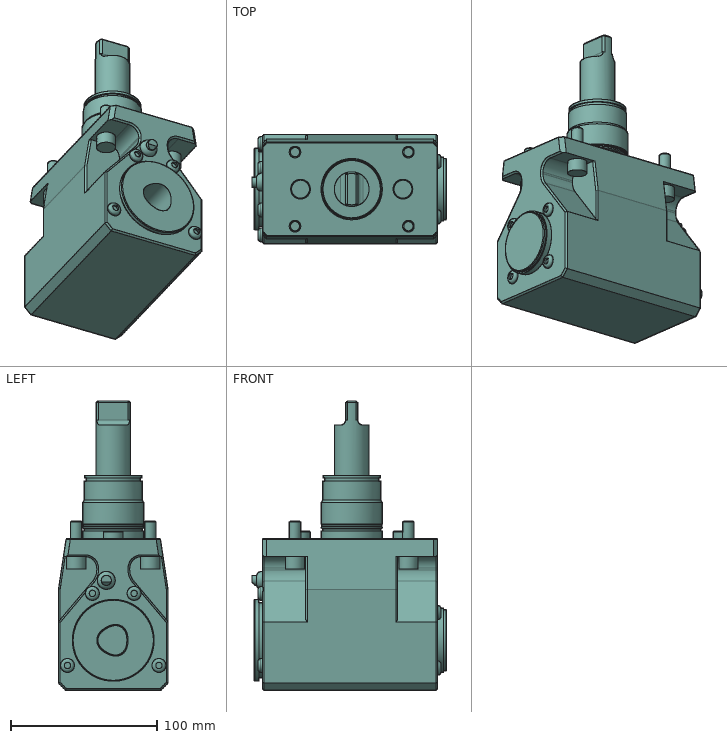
import cadquery as cq
import math

total_height = 198.0
housing_left = -61.2
housing_right = 58.8
housing_width = 75.0
plate_top_width = 64.5
housing_height = 104.0
shoulder_z = 69.1
base_chamfer = 5.0
edge_chamfer = 1.2

plate_bottom = 91.5
pocket_wall_x = 31.5
pocket_upper_radius = 8.0
pocket_lower_radius = 11.9
pocket_straight = 1.2
pocket_inner_y = 11.3
pocket_low_z = 47.0
plate_corner_chamfer = 3.0
plate_top_chamfer = 0.5

spindle_diameter = 23.8
blade_thickness = 8.3
blade_shoulder_z = 181.5
blade_fillet = 3.5
blade_chamfer = 1.2

bolt_x = 38.8
bolt_y = 25.3
bolt_diameter = 8.0
bolt_top = 115.8
bolt_chamfer = 0.8
bolt_head_diameter = 13.0
bolt_head_bottom = 83.2
dowel_x = 35.0
dowel_diameter = 13.5
dowel_top = 108.9
dowel_chamfer = 0.5

output_z = 34.3
output_neck_diameter = 51.5
output_disc_diameter = 56.0
output_disc_inner_x = -63.5
output_disc_outer_x = -67.0
disc_chamfer = 0.5
bore_mouth_radius = 10.7
bore_floor_radius = 9.9
bore_lobe_height = 0.5
bore_depth = 29.7

cover_diameter = 44.0
cover_outer_x = 63.0
cover_step_diameter = 42.0
cover_step_outer_x = 65.0

button_diameter = 9.5
socket_diameter = 4.4
button_height = 3.0
button_rim = 1.2
socket_depth = 1.5
left_buttons = [(14.3, 66.3), (-14.3, 66.3), (31.3, 17.0), (-31.3, 17.0)]
right_button_offset = 19.0
right_button_sink = 0.5

nozzle_y = 4.8
nozzle_z = 75.2
nozzle_diameter = 7.0
nozzle_tip_x = -68.3
nozzle_bevel = 2.4
nozzle_dome_diameter = 12.3
nozzle_dome_height = 4.0

fuse_overlap = 1.0
tolerance = 0.02


def rod_z(x, y, diameter, bottom, top):
    """Upright cylinder."""
    return cq.Workplane("XY", origin=(x, y, bottom)).circle(diameter / 2).extrude(top - bottom)


def rod_x(y, z, diameter, start, end):
    """Cylinder along X."""
    return cq.Workplane("YZ", origin=(start, y, z)).circle(diameter / 2).extrude(end - start)


def housing_blank():
    half = housing_width / 2
    half_top = plate_top_width / 2
    right_side = [
        (half - base_chamfer, 0),
        (half, base_chamfer),
        (half, shoulder_z),
        (half_top, housing_height),
    ]
    left_side = [(-y, z) for y, z in reversed(right_side)]
    plane = cq.Workplane("YZ", origin=(housing_left, 0, 0))
    return plane.polyline(right_side + left_side).close().extrude(housing_right - housing_left)


def corner_pocket(side, start, end):
    """Pocket with a flat ceiling, a rounded inner end and a sloped floor, open at the side."""
    half = housing_width / 2
    upper_y = pocket_inner_y + pocket_upper_radius
    upper_z = plate_bottom - pocket_upper_radius
    lower_y = pocket_inner_y + pocket_lower_radius
    lower_z = upper_z - pocket_straight

    to_low_y = half - lower_y
    to_low_z = pocket_low_z - lower_z
    distance = math.hypot(to_low_y, to_low_z)
    inward = math.pi
    floor_angle = math.atan2(to_low_z, to_low_y) - math.acos(pocket_lower_radius / distance)
    floor_angle += 2 * math.pi

    def on_round(centre_y, centre_z, radius, angle):
        return (side * (centre_y + radius * math.cos(angle)), centre_z + radius * math.sin(angle))

    def upper(angle):
        return on_round(upper_y, upper_z, pocket_upper_radius, angle)

    def lower(angle):
        return on_round(lower_y, lower_z, pocket_lower_radius, angle)

    plane = cq.Workplane("YZ", origin=(start, 0, 0))
    return (
        plane.moveTo(side * half, plate_bottom)
        .lineTo(*upper(math.pi / 2))
        .threePointArc(upper(math.pi * 0.75), upper(inward))
        .lineTo(*lower(inward))
        .threePointArc(lower((inward + floor_angle) / 2), lower(floor_angle))
        .lineTo(side * half, pocket_low_z)
        .close()
        .extrude(end - start)
    )


def is_end_face_edge(edge):
    """Edges of both end faces below the plate."""
    box = edge.BoundingBox()
    near_end = min(abs(box.xmin - housing_left), abs(box.xmax - housing_right)) < tolerance
    return near_end and box.xlen < tolerance and box.zmin < plate_bottom - tolerance


def is_plate_corner_edge(edge):
    """Sloped corner edges of the plate."""
    box = edge.BoundingBox()
    return box.xlen < tolerance and box.zmin > plate_bottom - tolerance and box.zlen > edge_chamfer


def is_pocket_mouth_edge(edge):
    """Edges where the pocket walls meet the sides of the housing."""
    box = edge.BoundingBox()
    at_wall = abs(abs(edge.Center().x) - pocket_wall_x) < tolerance and box.xlen < tolerance
    outer_reach = abs(edge.Center().y) + box.ylen / 2
    steep = box.zlen > 3 * box.ylen
    return at_wall and steep and outer_reach > housing_width / 2 - tolerance


def housing():
    body = housing_blank()
    for side in (-1, 1):
        body = body.cut(corner_pocket(side, housing_left, -pocket_wall_x))
        body = body.cut(corner_pocket(side, pocket_wall_x, housing_right))
    body = body.edges().filter(is_pocket_mouth_edge).chamfer(edge_chamfer)
    body = body.edges().filter(is_end_face_edge).chamfer(edge_chamfer)
    body = body.edges().filter(is_plate_corner_edge).chamfer(plate_corner_chamfer)
    return body.faces(">Z").edges().chamfer(plate_top_chamfer)


def collar():
    """Stepped and grooved collar around the spindle, turned from (diameter, z) points."""
    profile = [
        (42.0, housing_height - fuse_overlap),
        (42.0, 109.0),
        (40.0, 109.0),
        (40.0, 110.5),
        (42.0, 111.0),
        (41.2, 112.3),
        (41.2, 113.0),
        (42.0, 113.7),
        (42.0, 128.5),
        (40.0, 130.0),
        (40.0, 143.2),
        (37.0, 143.2),
        (37.0, 145.3),
        (39.2, 145.3),
        (39.2, 147.1),
    ]
    outline = cq.Workplane("XZ").moveTo(0, profile[0][1])
    for diameter, z in profile:
        outline = outline.lineTo(diameter / 2, z)
    return outline.lineTo(0, profile[-1][1]).close().revolve(360, (0, 0, 0), (0, 1, 0))


def spindle():
    """Round shaft with a flat driving blade at the top."""
    half_blade = blade_thickness / 2
    root_top = blade_shoulder_z + blade_fillet

    shaft = rod_z(0, 0, spindle_diameter, housing_height, root_top)
    for side in (-1, 1):
        round_cut = (
            cq.Workplane("XZ")
            .moveTo(side * half_blade, root_top)
            .radiusArc((side * (half_blade + blade_fillet), blade_shoulder_z), -side * blade_fillet)
            .lineTo(side * spindle_diameter, blade_shoulder_z)
            .lineTo(side * spindle_diameter, root_top)
            .close()
            .extrude(spindle_diameter, both=True)
        )
        shaft = shaft.cut(round_cut)

    slab = cq.Workplane("XY", origin=(0, 0, root_top)).rect(blade_thickness, spindle_diameter)
    slab = slab.extrude(total_height - root_top)
    blade = slab.intersect(rod_z(0, 0, spindle_diameter, root_top, total_height))
    blade = blade.edges("|Z or >Z").chamfer(blade_chamfer)
    return shaft.union(blade)


def plate_bolt(x, y):
    """Bolt through the plate: head in the pocket below, threaded end above."""
    thread = rod_z(x, y, bolt_diameter, plate_bottom, bolt_top).faces(">Z").chamfer(bolt_chamfer)
    head = rod_z(x, y, bolt_head_diameter, bolt_head_bottom, plate_bottom + fuse_overlap)
    return thread.union(head)


def dowel(x):
    pin = rod_z(x, 0, dowel_diameter, housing_height - fuse_overlap, dowel_top)
    return pin.faces(">Z").chamfer(dowel_chamfer)


def output_flange():
    neck = rod_x(0, output_z, output_neck_diameter, output_disc_inner_x, housing_left + fuse_overlap)
    disc = rod_x(0, output_z, output_disc_diameter, output_disc_outer_x, output_disc_inner_x)
    return neck.union(disc.faces("<X").chamfer(disc_chamfer))


def lobed_bore():
    """Three-lobed driving bore with one lobe toward +Y, narrowing inward."""

    def lobed_wire(x, mean_radius):
        def lobe_point(t):
            angle = 2 * math.pi * t + math.pi
            radius = mean_radius + bore_lobe_height * math.cos(3 * angle)
            return (radius * math.cos(angle), radius * math.sin(angle))

        plane = cq.Workplane("YZ", origin=(x, 0, output_z))
        return plane.parametricCurve(lobe_point, N=60).val()

    mouth = lobed_wire(output_disc_outer_x, bore_mouth_radius)
    floor = lobed_wire(output_disc_outer_x + bore_depth, bore_floor_radius)
    return cq.Workplane(cq.Solid.makeLoft([mouth, floor], True))


def bearing_cover():
    base = rod_x(0, output_z, cover_diameter, housing_right - fuse_overlap, cover_outer_x)
    step = rod_x(0, output_z, cover_step_diameter, cover_outer_x, cover_step_outer_x)
    return base.union(step.faces(">X").chamfer(disc_chamfer))


def domed_cap(x, y, z, direction, diameter, top_diameter, height, rim):
    """Domed round cap that stands out from an end face along direction (+1 or -1 in X)."""
    radius = diameter / 2
    top_radius = top_diameter / 2
    middle = (
        top_radius + (radius - top_radius) * math.sqrt(0.5),
        rim + (height - rim) * math.sqrt(0.5),
    )
    plane = cq.Plane(origin=(x, y, z), xDir=(0, 1, 0), normal=(0, 0, -direction))
    return (
        cq.Workplane(plane)
        .moveTo(0, -fuse_overlap)
        .lineTo(radius, -fuse_overlap)
        .lineTo(radius, rim)
        .threePointArc(middle, (top_radius, height))
        .lineTo(0, height)
        .close()
        .revolve(360, (0, 0, 0), (0, 1, 0))
    )


def button_screw(x, y, z, direction):
    head = domed_cap(x, y, z, direction, button_diameter, socket_diameter, button_height, button_rim)
    top_x = x + direction * button_height
    socket = rod_x(y, z, socket_diameter, top_x, top_x - direction * socket_depth)
    return head.cut(socket)


def nozzle():
    """Domed seat with a short spout that is bevelled on its lower side."""
    seat = domed_cap(
        housing_left, nozzle_y, nozzle_z, -1, nozzle_dome_diameter, nozzle_diameter, nozzle_dome_height, 0
    )
    spout = rod_x(nozzle_y, nozzle_z, nozzle_diameter, nozzle_tip_x, housing_left)
    low_z = nozzle_z - nozzle_diameter / 2
    bevel = (
        cq.Workplane("XZ", origin=(0, nozzle_y, 0))
        .polyline(
            [
                (nozzle_tip_x, low_z),
                (nozzle_tip_x + nozzle_bevel, low_z),
                (nozzle_tip_x, low_z + nozzle_bevel),
            ]
        )
        .close()
        .extrude(nozzle_diameter, both=True)
    )
    return seat.union(spout.cut(bevel))


result = housing().union(collar()).union(spindle())

for x in (-bolt_x, bolt_x):
    for y in (-bolt_y, bolt_y):
        result = result.union(plate_bolt(x, y))
for x in (-dowel_x, dowel_x):
    result = result.union(dowel(x))

result = result.union(output_flange()).union(bearing_cover())
for y, z in left_buttons:
    result = result.union(button_screw(housing_left, y, z, -1))
for y in (-right_button_offset, right_button_offset):
    for z in (output_z - right_button_offset, output_z + right_button_offset):
        result = result.union(button_screw(housing_right - right_button_sink, y, z, 1))
result = result.union(nozzle())
result = result.cut(lobed_bore())